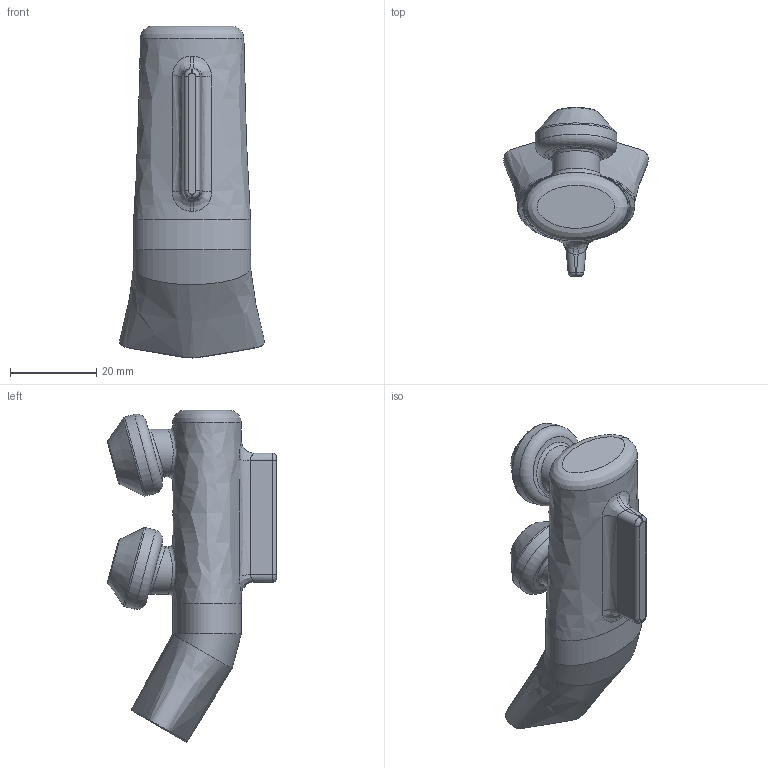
import math

import cadquery as cq

body_width = 27.2
body_depth = 16.0
straight_height = 7.0
taper_height = 45.0
body_top = straight_height + taper_height
top_width = 24.0
top_round = 3.0
bowed_widths = ((0.31, 25.65), (0.54, 24.9))

elbow_angle = 30.0
elbow_pivot_y = body_depth / 2 + 0.1

foot_length = 20.1
foot_width = 33.7
foot_depth = 15.0
foot_peak = 7.9
foot_flank_drop = 5.7
foot_flank_start = 0.24
foot_flank_end = 0.83
foot_tip_start = 0.97
foot_tip_y = 1.8
foot_end_chamfer = 0.2
foot_waist_share = 0.35
foot_waist_width = 28.8

knob_tilt = 15.0
knobs = ((14.7, knob_tilt), (42.0, -knob_tilt))
neck_diameter = 11.0
neck_end_y = 14.4
neck_fillet = 1.0
head_diameter = 19.0
head_face_diameter = 10.3
head_face_round = 0.6
head_cone_height = 5.1
head_height = 9.9
head_back_round = 2.2
head_rim_round = 0.6
head_root_fillet = 0.8
head_pivot_y = 13.6
head_face_offset = 8.5

rib_bottom = 12.0
rib_height = 30.0
rib_tip_y = -16.15
rib_tip_width = 3.5
rib_draft = 5.0
rib_root_width = rib_tip_width - 2 * rib_tip_y * math.tan(math.radians(rib_draft))
rib_end_round = 1.7
rib_tip_round = 0.95
rib_root_fillet = 3.0

margin = 0.1
rib_root_sag = 0.5
neck_root_sag = 2.0
head_root_slack = 0.6


def ellipse_wire(width, depth, height):
    plane = cq.Workplane("XY", origin=(0, 0, height))
    return plane.ellipse(width / 2, depth / 2).wires().val()


def make_body():
    straight = cq.Workplane("XY").ellipse(body_width / 2, body_depth / 2).extrude(straight_height)
    sections = [ellipse_wire(body_width, body_depth, straight_height)]
    for share, width in bowed_widths:
        sections.append(ellipse_wire(width, body_depth, straight_height + share * taper_height))
    sections.append(ellipse_wire(top_width, body_depth, body_top))
    tapered = cq.Workplane(cq.Solid.makeLoft(sections))
    return straight.union(tapered.faces(">Z").edges().fillet(top_round))


def turn_elbow(shape):
    return shape.rotate((0, elbow_pivot_y, 0), (1, elbow_pivot_y, 0), elbow_angle)


def make_elbow():
    start = ellipse_wire(body_width, body_depth, 0)
    return cq.Workplane(cq.Solid.makeLoft([turn_elbow(start), start], True))


def foot_wire(share, width):
    """Section at a share of the foot length, from the elbow's ellipse (0) to the end outline (1).

    The end outline has two sloping flanks on each face that meet in a soft crown.
    """
    side = width / 2
    quarter = []
    for x_share, y_end in (
        (foot_tip_start, foot_tip_y),
        (foot_flank_end, foot_peak - foot_flank_drop * foot_flank_end),
        (foot_flank_start, foot_peak - foot_flank_drop * foot_flank_start),
    ):
        y_ellipse = body_depth / 2 * math.sqrt(1 - x_share**2)
        quarter.append((side * x_share, y_ellipse + share * (y_end - y_ellipse)))
    crown = (0, (body_depth + share * (foot_depth - body_depth)) / 2)
    back = quarter + [crown] + [(-x, y) for x, y in reversed(quarter)]
    front = [(-x, -y) for x, y in back]
    points = [(side, 0)] + back + [(-side, 0)] + front
    plane = cq.Workplane("XY", origin=(0, 0, -share * foot_length))
    return plane.spline(points, periodic=True).wire().val()


def make_foot():
    start = ellipse_wire(body_width, body_depth, 0)
    waist = foot_wire(foot_waist_share, foot_waist_width)
    foot = cq.Workplane(cq.Solid.makeLoft([foot_wire(1, foot_width), waist, start]))
    foot = foot.faces("<Z").edges().chamfer(foot_end_chamfer)
    return turn_elbow(foot)


def make_head(height, tilt):
    radius = head_diameter / 2
    profile = (
        cq.Workplane("XY")
        .lineTo(0, head_face_offset)
        .lineTo(head_face_diameter / 2, head_face_offset)
        .lineTo(radius, head_face_offset - head_cone_height)
        .lineTo(radius, head_face_offset - head_height)
        .lineTo(0, head_face_offset - head_height)
        .close()
    )
    head = profile.revolve(360, (0, 0, 0), (0, 1, 0))
    head = head.faces("<Y").edges().fillet(head_back_round)
    head = head.edges(cq.selectors.RadiusNthSelector(-1)).edges(">Y").fillet(head_rim_round)
    head = head.faces(">Y").edges().fillet(head_face_round)
    return head.rotate((0, 0, 0), (1, 0, 0), tilt).translate((0, head_pivot_y, height))


def make_neck(height):
    return cq.Workplane("XZ", origin=(0, 0, height)).circle(neck_diameter / 2).extrude(-neck_end_y)


def make_rib():
    tip = rib_tip_width / 2
    root = rib_root_width / 2
    rib = (
        cq.Workplane("XY", origin=(0, 0, rib_bottom))
        .polyline([(-tip, rib_tip_y), (tip, rib_tip_y), (root, 0), (-root, 0)])
        .close()
        .extrude(rib_height)
    )
    for end in ("<Z", ">Z"):
        rib = rib.faces(end).edges("not |X").fillet(rib_end_round)
    return rib.faces("<Y").edges().fillet(rib_tip_round)


def fillet_inside(part, half_x, y_range, z_range, radius):
    """Fillet the edges that lie wholly inside a box centred on X = 0."""
    low = (-half_x, y_range[0], z_range[0])
    high = (half_x, y_range[1], z_range[1])
    box = cq.selectors.BoxSelector(low, high, boundingbox=True)
    return part.edges(box).fillet(radius)


def add_rib(part):
    z_range = (rib_bottom - margin, rib_bottom + rib_height + margin)
    front_y = -body_depth / 2
    y_range = (front_y - margin, front_y + rib_root_sag)
    return fillet_inside(part.union(make_rib()), rib_root_width / 2, y_range, z_range, rib_root_fillet)


def add_neck(part, height):
    half = neck_diameter / 2 + margin
    back_y = body_depth / 2
    y_range = (back_y - neck_root_sag, back_y + margin)
    z_range = (height - half, height + half)
    return fillet_inside(part.union(make_neck(height)), half, y_range, z_range, neck_fillet)


def add_head(part, height, tilt):
    half = neck_diameter / 2 + head_root_slack
    y_range = (body_depth / 2 + neck_fillet, head_pivot_y + head_root_slack)
    z_range = (height - half, height + half)
    part = part.union(make_head(height, tilt))
    return fillet_inside(part, half, y_range, z_range, head_root_fillet)


result = add_rib(make_body())
for knob_height, _ in knobs:
    result = add_neck(result, knob_height)
result = result.union(make_elbow()).union(make_foot())
for knob_height, head_tilt in knobs:
    result = add_head(result, knob_height, head_tilt)